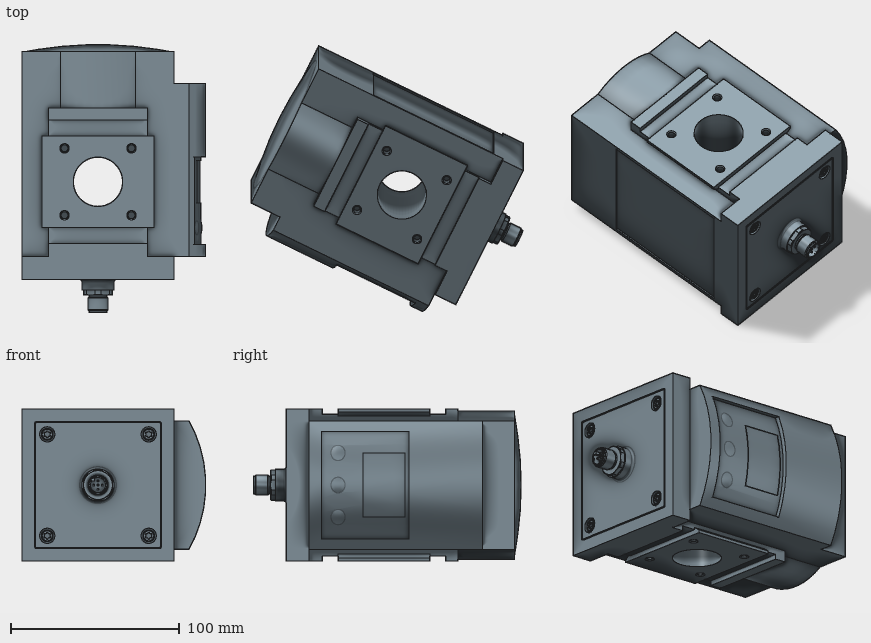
import cadquery as cq
import math


BODY_WIDTH = 90.0
BODY_HALF = BODY_WIDTH / 2
CORE_WIDTH = 58.3
CORE_REAR_Y = 43.7
BORE_DIA = 29.0
SLOT_DEPTH = 3.0
SLOT_OUTER_Y = 36.4
PLATE_WIDTH = 66.0
PLATE_LENGTH = 54.2
PLATE_EDGE = 1.8
PLATE_TAPER = 2.5
TAPPED_DIA = 4.13
COUNTERSINK_DIA = 5.5
TAPPED_DEPTH = 10.0
TAPPED_PITCH = 39.6

HOUSING_HALF_HEIGHT = 38.0
HOUSING_FRONT_Y = -44.3
HOUSING_REAR_Y = 58.15
BULGE_START_X = 53.8
BULGE_CREST_X = 63.78
BARREL_RADIUS = 44.0
COVER_LENGTH = 19.0
COVER_REAR_Y = HOUSING_REAR_Y + COVER_LENGTH
DOME_HEIGHT = 4.0
DOME_BASE_RADIUS = 42.0

POCKET_DEPTH = 2.85
POCKET_FRONT_Y = -37.0
POCKET_REAR_Y = 14.7
POCKET_HALF_HEIGHT = 31.8
WINDOW_DEPTH = 0.4
WINDOW_LENGTH = 25.0
WINDOW_HALF_HEIGHT = 19.0
BUTTON_DIA = 8.3
BUTTON_HEIGHT = 0.55
BUTTON_Y = -27.2
BUTTON_SPACING = 19.0

LABEL_FRONT_Y = -38.4
LABEL_REAR_Y = 41.0
LABEL_HEIGHT = 72.0
LABEL_DEPTH = 1.0

FRONT_Y = -57.85
PANEL_WIDTH = 74.0
PANEL_CORNER_RADIUS = 0.7
SEAM_WIDTH = 0.5
SEAM_DEPTH = 0.5
SCREW_PITCH = 60.0
SCREW_RECESS_DIA = 9.0
SCREW_RECESS_DEPTH = 2.1
SCREW_HEAD_DIA = 7.0
SCREW_HEAD_HEIGHT = 1.8
SCREW_HEAD_CHAMFER = 0.5
LOBE_COUNT = 6
LOBE_DIA = 0.9
DRIVE_DIA = 4.2
DRIVE_CORE_DIA = 3.1
DRIVE_DEPTH = 1.2

FLANGE_DIA = 19.0
FLANGE_FILLET = 1.4
FLANGE_END = 6.2
NUT_FLATS = 17.0
NUT_DIA = 18.0
NUT_CHAMFER = 0.45
NUT_END = 9.2
NECK_DIA = 10.5
THREAD_CONE_START = 10.2
THREAD_START = 11.0
PLUG_DIA = 12.0
PLUG_CHAMFER_DIA = 11.0
PLUG_TIP_DIA = 10.5
PLUG_CHAMFER_START = 17.8
PLUG_CHAMFER_END = 18.4
PLUG_END = 19.4
SOCKET_DIA = 9.0
SOCKET_DEPTH = 8.0
PIN_DIA = 1.1
PIN_RADIUS = 2.5
PIN_LENGTH = 6.5
KEY_INNER_X = -2.1
KEY_INNER_Z = 2.3
KEY_SIZE = 1.6
NOTCH_WIDTH = 0.9
NOTCH_DEPTH = 1.0
NOTCH_OVERLAP = 0.5


def span_box(x0, x1, y0, y1, z0, z1):
    """Axis-aligned box between two opposite corners."""
    return cq.Workplane("XY").box(x1 - x0, y1 - y0, z1 - z0, centered=False).translate((x0, y0, z0))


def facing_front(y):
    """Workplane at position y whose normal is -Y and whose axes are +X and +Z."""
    return cq.Workplane("XZ", origin=(0, y, 0))


BULGE_RISE = BULGE_CREST_X - BULGE_START_X
BULGE_RADIUS = (HOUSING_HALF_HEIGHT**2 + BULGE_RISE**2) / (2 * BULGE_RISE)
BULGE_AXIS_X = BULGE_CREST_X - BULGE_RADIUS


def bulge_cylinder(radius):
    """Cylinder along Y, concentric with the bulged side."""
    length = HOUSING_REAR_Y - HOUSING_FRONT_Y
    return facing_front(HOUSING_REAR_Y).center(BULGE_AXIS_X, 0).circle(radius).extrude(length)


def make_core():
    front = span_box(-BODY_HALF, BODY_HALF, FRONT_Y, HOUSING_FRONT_Y, -BODY_HALF, BODY_HALF)
    half = CORE_WIDTH / 2
    core = front.union(span_box(-half, half, FRONT_Y, CORE_REAR_Y, -BODY_HALF, BODY_HALF))
    for side in (-1, 1):
        slot = cq.Workplane("XY").box(CORE_WIDTH, 2 * SLOT_OUTER_Y, 2 * SLOT_DEPTH)
        core = core.cut(slot.translate((0, 0, side * BODY_HALF)))
    return core


def make_flange_plate(side):
    """Plate with undercut, tapered long edges; side is +1 for the top, -1 for the bottom."""
    top = side * BODY_HALF
    edge = top - side * PLATE_EDGE
    base = edge - side * PLATE_TAPER
    foot = CORE_WIDTH / 2
    half = PLATE_WIDTH / 2
    outline = [(-foot, base), (foot, base), (half, edge), (half, top), (-half, top), (-half, edge)]
    return facing_front(PLATE_LENGTH / 2).polyline(outline).close().extrude(PLATE_LENGTH)


def make_housing():
    height = HOUSING_HALF_HEIGHT
    profile = (
        facing_front(HOUSING_REAR_Y)
        .moveTo(-BODY_HALF, -height)
        .lineTo(BULGE_START_X, -height)
        .threePointArc((BULGE_CREST_X, 0), (BULGE_START_X, height))
        .lineTo(-BODY_HALF, height)
        .close()
    )
    housing = profile.extrude(HOUSING_REAR_Y - HOUSING_FRONT_Y)
    barrel_length = HOUSING_REAR_Y - CORE_REAR_Y
    return housing.union(facing_front(HOUSING_REAR_Y).circle(BARREL_RADIUS).extrude(barrel_length))


def make_rear_cover():
    cover = facing_front(COVER_REAR_Y).rect(BODY_WIDTH, 2 * HOUSING_HALF_HEIGHT).extrude(COVER_LENGTH)
    return cover.union(facing_front(COVER_REAR_Y).circle(BARREL_RADIUS).extrude(COVER_LENGTH))


def make_dome():
    radius = (DOME_BASE_RADIUS**2 + DOME_HEIGHT**2) / (2 * DOME_HEIGHT)
    ball_y = COVER_REAR_Y + DOME_HEIGHT - radius
    ball = cq.Workplane("XY").sphere(radius).translate((0, ball_y, 0))
    slab = facing_front(COVER_REAR_Y + DOME_HEIGHT).circle(BARREL_RADIUS).extrude(DOME_HEIGHT)
    return ball.intersect(slab)


def cut_display(body):
    """Sink a pocket and a window whose floors follow the bulge."""
    floor_radius = BULGE_RADIUS - POCKET_DEPTH
    pocket_z = POCKET_HALF_HEIGHT
    pocket = span_box(BODY_HALF, BULGE_CREST_X, POCKET_FRONT_Y, POCKET_REAR_Y, -pocket_z, pocket_z)
    half = WINDOW_LENGTH / 2
    window_z = WINDOW_HALF_HEIGHT
    window = span_box(BODY_HALF, BULGE_CREST_X, -half, half, -window_z, window_z)
    body = body.cut(pocket.cut(bulge_cylinder(floor_radius)))
    return body.cut(window.cut(bulge_cylinder(floor_radius - WINDOW_DEPTH)))


def add_buttons(body):
    """Three low domed buttons side by side on the pocket floor."""
    floor_radius = BULGE_RADIUS - POCKET_DEPTH
    ball_radius = ((BUTTON_DIA / 2) ** 2 + BUTTON_HEIGHT**2) / (2 * BUTTON_HEIGHT)
    ball_distance = floor_radius + BUTTON_HEIGHT - ball_radius
    for index in (-1, 0, 1):
        angle = math.asin(index * BUTTON_SPACING / floor_radius)
        ball_x = BULGE_AXIS_X + ball_distance * math.cos(angle)
        ball_z = ball_distance * math.sin(angle)
        ball = cq.Workplane("XY").sphere(ball_radius).rotate((0, 0, 0), (0, 0, 1), 180)
        ball = ball.translate((ball_x, BUTTON_Y, ball_z))
        body = body.union(ball)
    return body


def cut_label(body):
    half = LABEL_HEIGHT / 2
    depth_x = LABEL_DEPTH - BODY_HALF
    return body.cut(span_box(-BODY_HALF, depth_x, LABEL_FRONT_Y, LABEL_REAR_Y, -half, half))


def cut_flange_holes(body):
    """Flow bore through the body and four countersunk threaded holes in each flange."""
    body = body.cut(cq.Workplane("XY").circle(BORE_DIA / 2).extrude(BODY_HALF, both=True))
    countersink = (COUNTERSINK_DIA - TAPPED_DIA) / 2
    profile = [
        (0, 0),
        (COUNTERSINK_DIA / 2, 0),
        (TAPPED_DIA / 2, -countersink),
        (TAPPED_DIA / 2, -TAPPED_DEPTH),
        (0, -TAPPED_DEPTH),
    ]
    hole = cq.Workplane("XZ").polyline(profile).close().revolve(360, (0, 0, 0), (0, 1, 0))
    hole = hole.translate((0, 0, BODY_HALF))
    for x in (-TAPPED_PITCH / 2, TAPPED_PITCH / 2):
        for y in (-TAPPED_PITCH / 2, TAPPED_PITCH / 2):
            upper = hole.translate((x, y, 0))
            body = body.cut(upper).cut(upper.mirror("XY"))
    return body


def cut_panel_seam(body):
    outer_width = PANEL_WIDTH + 2 * SEAM_WIDTH
    outer = facing_front(FRONT_Y + SEAM_DEPTH).rect(outer_width, outer_width).extrude(SEAM_DEPTH)
    inner = facing_front(FRONT_Y + SEAM_DEPTH).rect(PANEL_WIDTH, PANEL_WIDTH).extrude(SEAM_DEPTH)
    outer = outer.edges("|Y").fillet(PANEL_CORNER_RADIUS + SEAM_WIDTH)
    inner = inner.edges("|Y").fillet(PANEL_CORNER_RADIUS)
    return body.cut(outer.cut(inner))


def make_screw():
    """Screw head with a six-lobed drive, standing on the plane y = 0."""
    head = facing_front(0).circle(SCREW_HEAD_DIA / 2).extrude(SCREW_HEAD_HEIGHT)
    head = head.faces("<Y").chamfer(SCREW_HEAD_CHAMFER)
    floor = facing_front(DRIVE_DEPTH - SCREW_HEAD_HEIGHT)
    head = head.cut(floor.circle(DRIVE_CORE_DIA / 2).extrude(DRIVE_DEPTH))
    lobes = floor.polarArray((DRIVE_DIA - LOBE_DIA) / 2, 90, 360, LOBE_COUNT)
    return head.cut(lobes.circle(LOBE_DIA / 2).extrude(DRIVE_DEPTH))


def add_screws(body):
    floor_y = FRONT_Y + SCREW_RECESS_DEPTH
    recesses = facing_front(floor_y).rect(SCREW_PITCH, SCREW_PITCH, forConstruction=True).vertices()
    body = body.cut(recesses.circle(SCREW_RECESS_DIA / 2).extrude(SCREW_RECESS_DEPTH))
    screw = make_screw()
    for x in (-SCREW_PITCH / 2, SCREW_PITCH / 2):
        for z in (-SCREW_PITCH / 2, SCREW_PITCH / 2):
            body = body.union(screw.translate((x, floor_y, z)))
    return body


def connector_disc(diameter, start, end):
    """Coaxial disc of the connector between two stations."""
    return facing_front(FRONT_Y - start).circle(diameter / 2).extrude(end - start)


def make_nut():
    across_corners = NUT_FLATS / math.cos(math.pi / 6)
    length = NUT_END - FLANGE_END
    hexagon = facing_front(FRONT_Y - FLANGE_END).polygon(6, across_corners).extrude(length)
    hexagon = hexagon.rotate((0, 0, 0), (0, 1, 0), 30)
    round_limit = connector_disc(NUT_DIA, FLANGE_END, NUT_END).faces("<Y").chamfer(NUT_CHAMFER)
    return hexagon.intersect(round_limit)


def make_flange():
    """Connector flange that flares into the panel with a concave fillet."""
    radius = FLANGE_DIA / 2
    fillet_mid = FLANGE_FILLET * (1 - math.sqrt(0.5))
    profile = (
        cq.Workplane("XY")
        .moveTo(0, 0)
        .lineTo(radius + FLANGE_FILLET, 0)
        .threePointArc((radius + fillet_mid, -fillet_mid), (radius, -FLANGE_FILLET))
        .lineTo(radius, -FLANGE_END)
        .lineTo(0, -FLANGE_END)
        .close()
    )
    return profile.revolve(360, (0, 0, 0), (0, 1, 0)).translate((0, FRONT_Y, 0))


def make_plug():
    """Neck and threaded plug as one turned shape, from the nut to the tip."""
    profile = [
        (0, -NUT_END),
        (NECK_DIA / 2, -NUT_END),
        (NECK_DIA / 2, -THREAD_CONE_START),
        (PLUG_DIA / 2, -THREAD_START),
        (PLUG_DIA / 2, -PLUG_CHAMFER_START),
        (PLUG_CHAMFER_DIA / 2, -PLUG_CHAMFER_END),
        (PLUG_TIP_DIA / 2, -PLUG_CHAMFER_END),
        (PLUG_TIP_DIA / 2, -PLUG_END),
        (0, -PLUG_END),
    ]
    plug = cq.Workplane("XY").polyline(profile).close().revolve(360, (0, 0, 0), (0, 1, 0))
    return plug.translate((0, FRONT_Y, 0))


def make_connector():
    connector = make_flange().union(make_nut())
    connector = connector.union(make_plug())

    socket_floor = PLUG_END - SOCKET_DEPTH
    socket = connector_disc(SOCKET_DIA, socket_floor, PLUG_END)
    connector = connector.cut(socket)
    pin_end = socket_floor + PIN_LENGTH
    for x, z in ((0, 0), (PIN_RADIUS, 0), (-PIN_RADIUS, 0), (0, PIN_RADIUS), (0, -PIN_RADIUS)):
        connector = connector.union(connector_disc(PIN_DIA, socket_floor, pin_end).translate((x, 0, z)))

    tip_y = FRONT_Y - PLUG_END
    key_x = KEY_INNER_X - KEY_SIZE
    key_z = KEY_INNER_Z + KEY_SIZE
    key = span_box(key_x, KEY_INNER_X, tip_y, tip_y + SOCKET_DEPTH, KEY_INNER_Z, key_z)
    connector = connector.union(key.intersect(connector_disc(PLUG_TIP_DIA, socket_floor, PLUG_END)))
    notch_half = NOTCH_WIDTH / 2
    socket_wall_x = -SOCKET_DIA / 2
    notch = span_box(
        -PLUG_TIP_DIA / 2, socket_wall_x + NOTCH_OVERLAP, tip_y, tip_y + NOTCH_DEPTH, -notch_half, notch_half
    )
    return connector.cut(notch)


body = make_core().union(make_housing())
for flange_side in (-1, 1):
    body = body.union(make_flange_plate(flange_side))
body = body.union(make_rear_cover()).union(make_dome())
body = cut_flange_holes(body)
body = cut_display(body)
body = add_buttons(body)
body = cut_label(body)
body = cut_panel_seam(body)
body = add_screws(body)
result = body.union(make_connector())